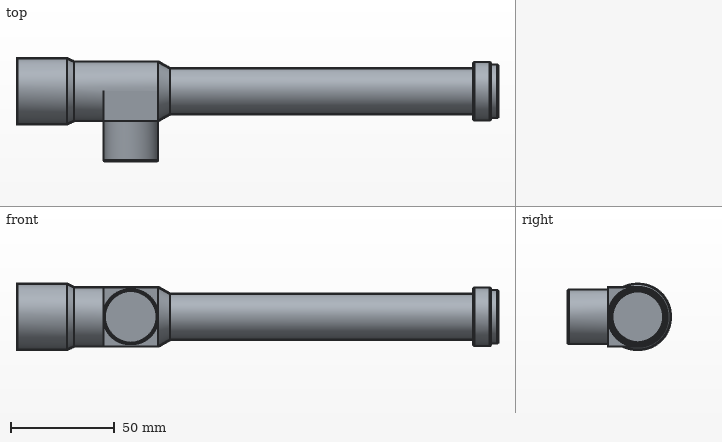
import cadquery as cq

total_length = 232.2
overall_width = 50.0

socket_radius = 16.0
socket_length = 24.0
socket_taper_end = 27.5
body_radius = 14.5
body_end = 68.0
body_taper_end = 73.8
tube_radius = 11.1
collar_radius = 14.2
collar_start = 220.1
collar_end = 228.7
lip_radius = 13.0
edge_chamfer = 0.7

branch_radius = 13.2
branch_reach = overall_width - socket_radius
block_width = 2 * branch_radius
branch_x = body_end - branch_radius


def make_run():
    """Solid of revolution about the X axis."""
    profile = [
        (0, 0),
        (0, socket_radius),
        (socket_length, socket_radius),
        (socket_taper_end, body_radius),
        (body_end, body_radius),
        (body_taper_end, tube_radius),
        (collar_start, tube_radius),
        (collar_start, collar_radius - edge_chamfer),
        (collar_start + edge_chamfer, collar_radius),
        (collar_end - edge_chamfer, collar_radius),
        (collar_end, collar_radius - edge_chamfer),
        (collar_end, lip_radius),
        (total_length - edge_chamfer, lip_radius),
        (total_length, lip_radius - edge_chamfer),
        (total_length, 0),
    ]
    outline = cq.Workplane("XZ").polyline(profile).close()
    return outline.revolve(360, (0, 0, 0), (1, 0, 0))


def make_block():
    """Square block whose front face lies level with the body's -Y side."""
    block = cq.Workplane("XY").box(block_width, body_radius, 2 * body_radius)
    return block.translate((branch_x, -body_radius / 2, 0))


def make_branch():
    """Round branch with a chamfered free end."""
    branch = cq.Workplane("XZ", origin=(branch_x, 0, 0)).circle(branch_radius).extrude(branch_reach)
    return branch.faces("<Y").chamfer(edge_chamfer)


result = make_run().union(make_block()).union(make_branch())